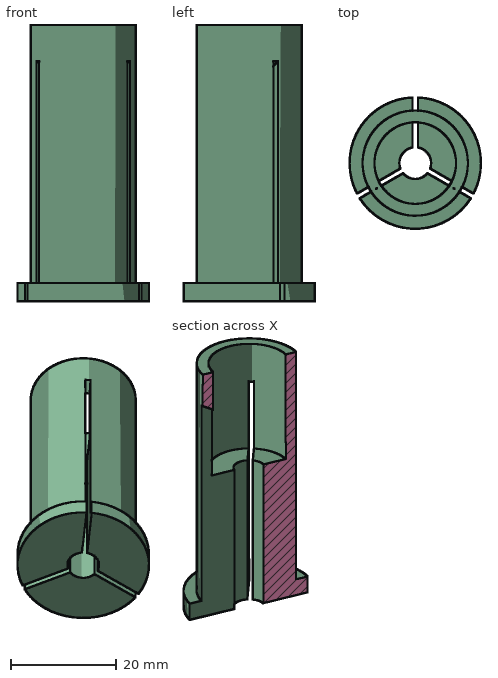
import cadquery as cq
import math

total_height = 52.5
flange_diameter = 25.0
flange_height = 3.5
sleeve_diameter = 20.0
bore_diameter = 15.5
hole_diameter = 6.0
floor_thickness = 30.0
slot_width = 1.0
slot_top = 45.6
slot_roof_angle = 30.0
slot_count = 3
first_slot_angle = 90.0

flange = cq.Workplane("XY").circle(flange_diameter / 2).extrude(flange_height)
sleeve = cq.Workplane("XY").circle(sleeve_diameter / 2).extrude(total_height)
body = flange.union(sleeve)

bore = (
    cq.Workplane("XY")
    .workplane(offset=floor_thickness)
    .circle(bore_diameter / 2)
    .extrude(total_height - floor_thickness)
)
hole = cq.Workplane("XY").circle(hole_diameter / 2).extrude(total_height)
body = body.cut(bore).cut(hole)


def radial_slot(angle):
    """Slot from the axis outwards, open below, its roof rising to slot_top at the sleeve surface."""
    roof_slope = math.tan(math.radians(slot_roof_angle))
    sleeve_radius = sleeve_diameter / 2
    flange_radius = flange_diameter / 2
    slot = (
        cq.Workplane("XZ")
        .moveTo(0, 0)
        .lineTo(flange_radius, 0)
        .lineTo(flange_radius, slot_top + (flange_radius - sleeve_radius) * roof_slope)
        .lineTo(0, slot_top - sleeve_radius * roof_slope)
        .close()
        .extrude(slot_width / 2, both=True)
    )
    return slot.rotate((0, 0, 0), (0, 0, 1), angle)


for index in range(slot_count):
    body = body.cut(radial_slot(first_slot_angle + index * 360 / slot_count))

result = body